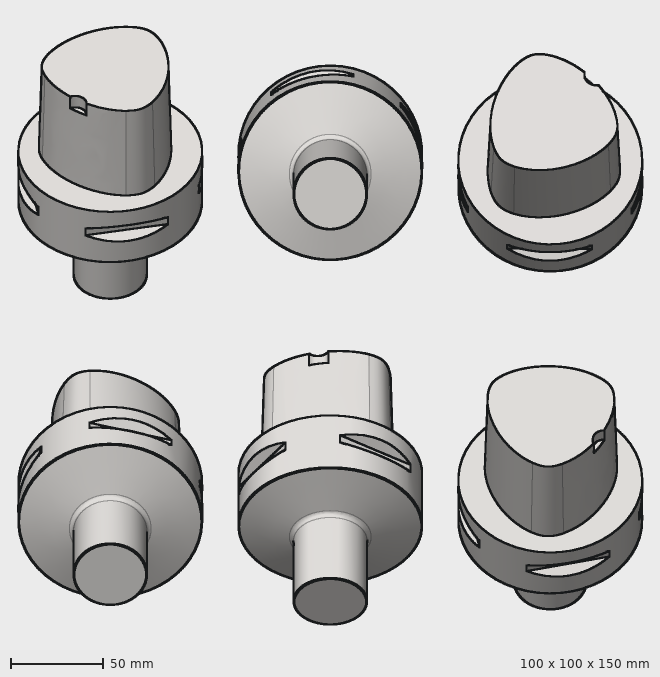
import cadquery as cq
import math

total_height = 150.0
flange_top = 90.0
flange_bottom = 53.5
edge_break = 0.5

shank_radius = 60 / 3
flange_radius = 150 / 3
cone_angle = 15.0
cone_fillet = 3.0

base_mean_radius = 36.0
taper_ratio = 1 / 40
lobe_offset = 2.8
side_half_angle = 33.5
lobe_count = 3

notch_count = 4
notch_floor_distance = 44.4
notch_floor_height = 5.0
notch_center_z = 73.8
notch_flare = 0.58
notch_length = 2 * flange_radius

key_radius = 6.3
key_center_y = -34.8
key_depth = 8.2


def make_turned_body():
    """Shank, cone and flange revolved about Z."""
    cone_edge_z = flange_bottom - edge_break
    cone_rise = (flange_radius - edge_break - shank_radius) * math.tan(math.radians(cone_angle))
    cone_foot_z = cone_edge_z - cone_rise
    body = (
        cq.Workplane("XZ")
        .moveTo(0, 0)
        .lineTo(shank_radius - edge_break, 0)
        .lineTo(shank_radius, edge_break)
        .lineTo(shank_radius, cone_foot_z)
        .lineTo(flange_radius - edge_break, cone_edge_z)
        .lineTo(flange_radius, flange_bottom)
        .lineTo(flange_radius, flange_top)
        .lineTo(0, flange_top)
        .close()
        .revolve(360, (0, 0, 0), (0, 1, 0))
    )
    foot_edge = cq.selectors.BoxSelector(
        (-flange_radius, -flange_radius, cone_foot_z - edge_break),
        (flange_radius, flange_radius, cone_foot_z + edge_break),
        boundingbox=True,
    )
    return body.edges(foot_edge).edges("%CIRCLE").fillet(cone_fillet)


def polygon_point(mean_radius, angle, z):
    """Point on the three-lobed curve; the middle of a side lies at angle 0, toward -Y."""
    across = (
        mean_radius * math.sin(angle)
        + 2 * lobe_offset * math.sin(2 * angle)
        + lobe_offset * math.sin(4 * angle)
    )
    outward = (
        mean_radius * math.cos(angle)
        - 2 * lobe_offset * math.cos(2 * angle)
        + lobe_offset * math.cos(4 * angle)
    )
    return cq.Vector(across, -outward, z)


def polygon_stretch(mean_radius, start, end, z, steps=12):
    """Smooth edge along the curve between two angles in degrees."""
    angles = [math.radians(start + (end - start) * i / steps) for i in range(steps + 1)]
    return cq.Edge.makeSpline([polygon_point(mean_radius, angle, z) for angle in angles])


def polygon_wire(z):
    """Closed section of the polygon, a side and a corner for each lobe."""
    mean_radius = base_mean_radius - taper_ratio * (z - flange_top)
    pitch = 360 / lobe_count
    edges = []
    for i in range(lobe_count):
        side_start = i * pitch - side_half_angle
        side_end = i * pitch + side_half_angle
        next_side = side_start + pitch
        edges.append(polygon_stretch(mean_radius, side_start, side_end, z))
        edges.append(polygon_stretch(mean_radius, side_end, next_side, z))
    return cq.Wire.assembleEdges(edges)


def make_polygon_taper():
    sections = [polygon_wire(flange_top), polygon_wire(total_height)]
    return cq.Workplane(cq.Solid.makeLoft(sections, True))


def make_key_slot():
    return (
        cq.Workplane("XY")
        .workplane(offset=total_height - key_depth)
        .center(0, key_center_y)
        .circle(key_radius)
        .extrude(key_depth)
    )


def make_notch(angle):
    """Flat-floored notch with flared upper and lower walls, facing the given angle."""
    half_floor = notch_floor_height / 2
    half_mouth = half_floor + notch_flare * (flange_radius - notch_floor_distance)
    return (
        cq.Workplane("XZ")
        .moveTo(notch_floor_distance, notch_center_z - half_floor)
        .lineTo(flange_radius, notch_center_z - half_mouth)
        .lineTo(flange_radius, notch_center_z + half_mouth)
        .lineTo(notch_floor_distance, notch_center_z + half_floor)
        .close()
        .extrude(notch_length / 2, both=True)
        .rotate((0, 0, 0), (0, 0, 1), angle)
    )


result = make_turned_body().union(make_polygon_taper()).cut(make_key_slot())
for i in range(notch_count):
    result = result.cut(make_notch((i + 0.5) * 360 / notch_count))